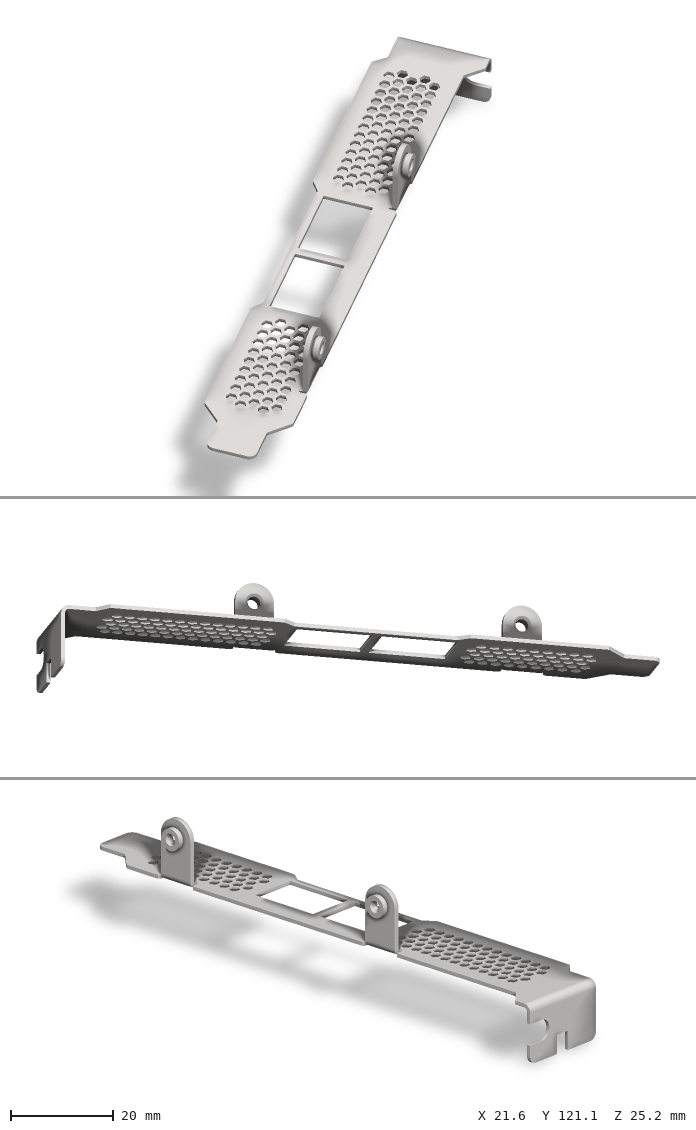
import cadquery as cq
import math


overall_width = 21.59
overall_length = 121.09
overall_height = 25.18
sheet = 0.8
bend_inner_radius = 0.78
bend_outer_radius = bend_inner_radius + sheet
end_corner_radius = 1.6

blade_right = 18.25
neck_left = 2.6
waist_left = 1.8
tongue_left = 4.1
tongue_right = 14.25
neck_straight_end = 3.8
neck_end = 7.0
shoulder_start = 9.25
shoulder_end = 44.3
waist_start = 46.7
waist_end = 79.5
lower_shoulder_start = 81.8
taper_start = 109.55
tongue_start = 113.6

flange_depth = 12.35
screw_slot_diameter = 4.4
screw_slot_x = 18.27
screw_slot_z = -6.15
key_slot_left = 10.65
key_slot_right = 13.9
key_slot_top = -8.35

window_left = 3.3
window_right = 13.5
window_length = 15.35
window_starts = (47.6, 64.7)

hex_across_flats = 2.0
hex_across_corners = hex_across_flats / math.cos(math.pi / 6)
mesh_columns = 5
mesh_column_pitch = 2.34
mesh_first_x = 4.5
upper_mesh_rows = 14
upper_mesh_pitch = 2.53
upper_mesh_center = 27.0
lower_mesh_rows = 10
lower_mesh_pitch = 2.68
lower_mesh_center = 95.8

tab_centers = (42.7, 96.6)
tab_width = 7.8
tab_thickness = 1.1
tab_height = overall_height - flange_depth
tab_inner_x = blade_right - tab_thickness
tab_bend_radius = 0.4
tab_foot_end = tab_inner_x - tab_bend_radius
relief_left = 16.45
relief_width = 8.55
relief_corner_radius = 0.3

nut_z = tab_height - tab_width / 2
nut_diameter = 4.6
nut_length = 1.5
nut_groove_diameter = 4.0
nut_groove_width = 0.4
bore_diameter = 2.53
bore_mouth_diameter = 3.6
bore_mouth_depth = (bore_mouth_diameter - bore_diameter) / 2


def bent_sheet():
    """L-shaped strip of full width: blade along -Y, flange along -Z, rounded bend between."""
    strip = (
        cq.Workplane("YZ")
        .moveTo(-overall_length, 0)
        .lineTo(-bend_outer_radius, 0)
        .radiusArc((0, -bend_outer_radius), bend_outer_radius)
        .lineTo(0, -flange_depth)
        .lineTo(-sheet, -flange_depth)
        .lineTo(-sheet, -bend_outer_radius)
        .radiusArc((-bend_outer_radius, -sheet), -bend_inner_radius)
        .lineTo(-overall_length, -sheet)
        .close()
    )
    return strip.extrude(overall_width)


def outline_prism():
    """Outline of the bracket seen along Z, as deep as the flange."""
    outline = [
        (neck_left, 0),
        (overall_width, 0),
        (overall_width, -neck_straight_end),
        (blade_right, -neck_end),
        (blade_right, -taper_start),
        (tongue_right, -tongue_start),
        (tongue_right, -overall_length),
        (tongue_left, -overall_length),
        (tongue_left, -tongue_start),
        (0, -taper_start),
        (0, -lower_shoulder_start),
        (waist_left, -waist_end),
        (waist_left, -waist_start),
        (0, -shoulder_end),
        (0, -shoulder_start),
        (neck_left, -neck_end),
    ]
    prism = cq.Workplane("XY").polyline(outline).close().extrude(-flange_depth)
    return prism.edges("|Z and <Y").fillet(end_corner_radius)


def screw_slot():
    """U-shaped slot open at the right edge of the flange."""
    radius = screw_slot_diameter / 2
    return (
        cq.Workplane("XZ")
        .moveTo(overall_width, screw_slot_z + radius)
        .lineTo(screw_slot_x, screw_slot_z + radius)
        .threePointArc((screw_slot_x - radius, screw_slot_z), (screw_slot_x, screw_slot_z - radius))
        .lineTo(overall_width, screw_slot_z - radius)
        .close()
        .extrude(sheet)
    )


def key_slot():
    """Rectangular slot open at the bottom edge of the flange."""
    width = key_slot_right - key_slot_left
    height = flange_depth + key_slot_top
    slot = cq.Workplane("XY").box(width, sheet, height, centered=False)
    return slot.translate((key_slot_left, -sheet, -flange_depth))


def mesh_points(rows, pitch, center):
    """Centers of staggered columns; every second column holds the full row count, the others one less."""
    points = []
    for column in range(mesh_columns):
        count = rows - 1 + column % 2
        x = mesh_first_x + column * mesh_column_pitch
        for row in range(count):
            points.append((x, -center + (row - (count - 1) / 2) * pitch))
    return points


def mesh_holes():
    """Hexagonal holes of the upper and lower ventilation fields."""
    points = mesh_points(upper_mesh_rows, upper_mesh_pitch, upper_mesh_center)
    points += mesh_points(lower_mesh_rows, lower_mesh_pitch, lower_mesh_center)
    return cq.Workplane("XY").pushPoints(points).polygon(6, hex_across_corners).extrude(-sheet)


def window(start):
    """Rectangular connector opening beginning at a distance from the flange face."""
    opening = cq.Workplane("XY").box(window_right - window_left, window_length, sheet, centered=False)
    return opening.translate((window_left, -start - window_length, -sheet))


def tab_relief(center):
    """Notch in the right edge of the blade around the foot of a tab, flared by rounded corners."""
    half = relief_width / 2
    radius = relief_corner_radius
    return (
        cq.Workplane("XY", origin=(0, -center, 0))
        .moveTo(blade_right, half + radius)
        .radiusArc((blade_right - radius, half), -radius)
        .lineTo(relief_left, half)
        .lineTo(relief_left, -half)
        .lineTo(blade_right - radius, -half)
        .radiusArc((blade_right, -half - radius), -radius)
        .close()
        .extrude(-sheet)
    )


def tab(center):
    """Upright tab with a round top, joined to the blade by a bend at its foot."""
    half = tab_width / 2
    outer_radius = blade_right - tab_foot_end
    section = (
        cq.Workplane("XZ", origin=(0, -center, 0))
        .moveTo(relief_left, 0)
        .lineTo(tab_foot_end, 0)
        .radiusArc((tab_inner_x, tab_bend_radius), -tab_bend_radius)
        .lineTo(tab_inner_x, tab_height)
        .lineTo(blade_right, tab_height)
        .lineTo(blade_right, outer_radius - sheet)
        .radiusArc((tab_foot_end, -sheet), outer_radius)
        .lineTo(relief_left, -sheet)
        .close()
        .extrude(half, both=True)
    )
    arch = (
        cq.Workplane("YZ", origin=(0, -center, 0))
        .moveTo(-half, -sheet)
        .lineTo(-half, nut_z)
        .threePointArc((0, tab_height), (half, nut_z))
        .lineTo(half, -sheet)
        .close()
        .extrude(blade_right)
    )
    return section.intersect(arch)


def nut(center):
    """Round collar on the outer face of the tab, with a shallow groove next to the tab."""
    plane = cq.Workplane("YZ", origin=(blade_right, -center, nut_z))
    neck = plane.circle(nut_groove_diameter / 2).extrude(nut_groove_width)
    collar = plane.workplane(offset=nut_groove_width).circle(nut_diameter / 2)
    return neck.union(collar.extrude(nut_length - nut_groove_width))


def nut_bore(center):
    """Through bore with a countersunk mouth on the inner face of the tab."""
    plane = cq.Workplane("YZ", origin=(tab_inner_x, -center, nut_z))
    bore = plane.circle(bore_diameter / 2).extrude(tab_thickness + nut_length)
    mouth = (
        plane.circle(bore_mouth_diameter / 2)
        .workplane(offset=bore_mouth_depth)
        .circle(bore_diameter / 2)
        .loft()
    )
    return bore.union(mouth)


bracket = bent_sheet().intersect(outline_prism())
bracket = bracket.edges("|Y and <Z").fillet(end_corner_radius)
bracket = bracket.cut(screw_slot()).cut(key_slot())
for window_start in window_starts:
    bracket = bracket.cut(window(window_start))
for tab_center in tab_centers:
    bracket = bracket.cut(tab_relief(tab_center))
    bracket = bracket.union(tab(tab_center)).union(nut(tab_center))
    bracket = bracket.cut(nut_bore(tab_center))
result = bracket.cut(mesh_holes())